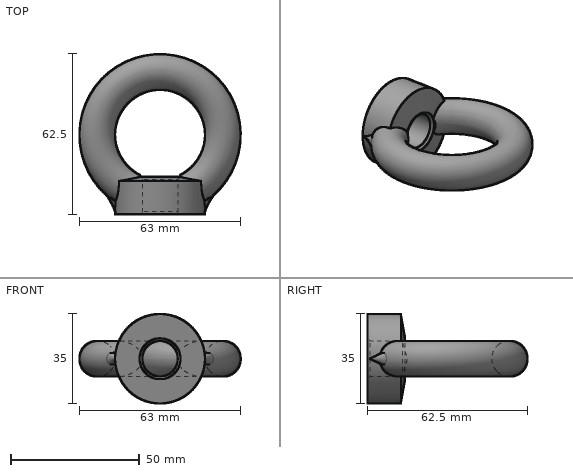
import cadquery as cq
import math

RING_INNER_DIAMETER = 35.0
ROD_DIAMETER = 14.0
ROD_RADIUS = ROD_DIAMETER / 2
RING_MEAN_RADIUS = RING_INNER_DIAMETER / 2 + ROD_RADIUS

COLLAR_DIAMETER = 35.0
COLLAR_RADIUS = COLLAR_DIAMETER / 2
BASE_Y = -31.0
SHOULDER_HEIGHT = 13.0
CROWN_ANGLE = 10.0

BORE_DIAMETER = 13.84
LEAD_IN_DIAMETER = 16.0
BORE_RADIUS = BORE_DIAMETER / 2
LEAD_IN_RADIUS = LEAD_IN_DIAMETER / 2
LEAD_IN_DEPTH = LEAD_IN_RADIUS - BORE_RADIUS

CROWN_HEIGHT = (COLLAR_RADIUS - LEAD_IN_RADIUS) * math.tan(math.radians(CROWN_ANGLE))
SHOULDER_Y = BASE_Y + SHOULDER_HEIGHT
CROWN_TOP_Y = SHOULDER_Y + CROWN_HEIGHT

GUSSET_TIP_HEIGHT = 0.3
GUSSET_TOP_HEIGHT = 8.0
GUSSET_INSET = 0.2
GUSSET_TOP_RADIUS = 4.0
GUSSET_SIDE_RADIUS = 24.0


def make_ring():
    """Rod section at the collar, revolved about Z so that its seam lies inside the collar."""
    rod_section = cq.Workplane("YZ").center(-RING_MEAN_RADIUS, 0).circle(ROD_RADIUS)
    return rod_section.revolve(360, (RING_MEAN_RADIUS, 0), (RING_MEAN_RADIUS, 1))


def make_collar():
    """Collar and crown, revolved about the Y axis."""
    profile = (
        cq.Workplane("XY")
        .moveTo(0, BASE_Y)
        .lineTo(COLLAR_RADIUS, BASE_Y)
        .lineTo(COLLAR_RADIUS, SHOULDER_Y)
        .lineTo(LEAD_IN_RADIUS, CROWN_TOP_Y)
        .lineTo(0, CROWN_TOP_Y)
        .close()
    )
    return profile.revolve(360, (0, 0), (0, 1))


def make_gusset(side):
    """Horn revolved about a line parallel to Y just inside the collar wall; side is -1 or 1."""
    axis_x = COLLAR_RADIUS - GUSSET_INSET
    tip_y = BASE_Y + GUSSET_TIP_HEIGHT
    top_y = BASE_Y + GUSSET_TOP_HEIGHT
    rise = top_y - tip_y
    chord = math.hypot(GUSSET_TOP_RADIUS, rise)
    sag = GUSSET_SIDE_RADIUS - math.sqrt(GUSSET_SIDE_RADIUS**2 - (chord / 2) ** 2)
    side_middle = (
        axis_x + GUSSET_TOP_RADIUS / 2 - sag * rise / chord,
        (tip_y + top_y) / 2 + sag * GUSSET_TOP_RADIUS / chord,
    )
    horn = (
        cq.Workplane("XY")
        .moveTo(axis_x, tip_y)
        .threePointArc(side_middle, (axis_x + GUSSET_TOP_RADIUS, top_y))
        .lineTo(axis_x, top_y)
        .close()
        .revolve(360, (axis_x, 0), (axis_x, 1))
    )
    if side < 0:
        return horn.mirror("YZ")
    return horn


def make_bore():
    """Tool for the bore and its lead-ins, from below the base to the centre of the ring."""
    start_y = BASE_Y - ROD_RADIUS
    end_y = 0
    profile = (
        cq.Workplane("XY")
        .moveTo(0, start_y)
        .lineTo(LEAD_IN_RADIUS, start_y)
        .lineTo(LEAD_IN_RADIUS, BASE_Y)
        .lineTo(BORE_RADIUS, BASE_Y + LEAD_IN_DEPTH)
        .lineTo(BORE_RADIUS, CROWN_TOP_Y - LEAD_IN_DEPTH)
        .lineTo(LEAD_IN_RADIUS, CROWN_TOP_Y)
        .lineTo(LEAD_IN_RADIUS, end_y)
        .lineTo(0, end_y)
        .close()
    )
    return profile.revolve(360, (0, 0), (0, 1))


result = make_ring().union(make_collar())
for gusset_side in (-1, 1):
    result = result.union(make_gusset(gusset_side))
result = result.cut(make_bore())